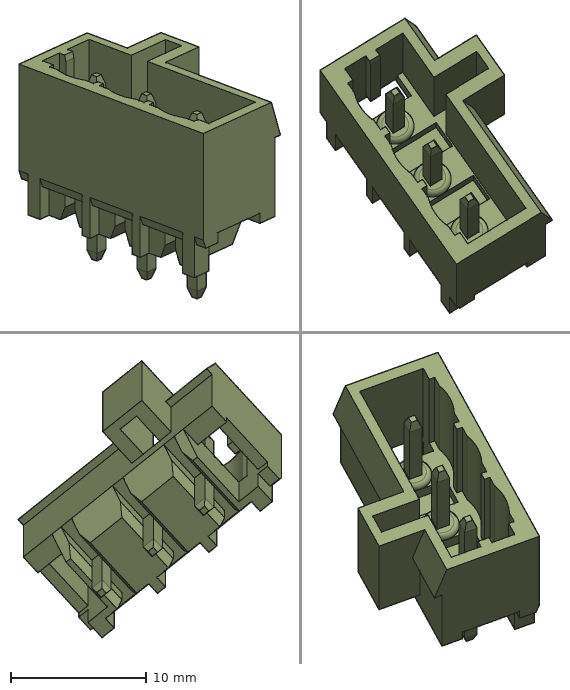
import cadquery as cq


pole_count = 3
pitch = 5.0
pole_y = 3.9
pole_xs = [(i - (pole_count - 1) / 2) * pitch for i in range(pole_count)]
gap_xs = [(a + b) / 2 for a, b in zip(pole_xs, pole_xs[1:])]

length = 18.4
top_z = 12.0
ledge_z = 2.58
back_y = 7.9
front_chamfer_depth = 0.28
front_chamfer_top_z = 3.33

hook_y = 8.5
hook_rim_y = 7.5
hook_bottom_z = 9.0

pocket_length = 16.6
pocket_front_y = 1.6
pocket_back_y = 6.73
floor_z = 4.0

relief_width = 4.42
relief_y = 1.15
relief_arc_width = 2.72
relief_arc_y = 0.9

boss_diameter = 2.8
boss_height = 0.4
base_length = (pole_count - 1) * pitch + boss_diameter
base_bottom_back_y = 6.3

opening_back_y = 6.24
notch_top_z = 3.4

feet_length = pocket_length
foot_gap_width = 4.21
foot_gap_depth = 1.0

recess_width = pitch - boss_diameter
recess_front_y = 1.85
recess_back_y = 6.6
recess_depth = 1.0

box_x = -3.3
box_width = 3.8
box_back_y = 11.2
box_slot_width = 1.6
box_slot_back_y = 10.5

rib_y = pole_y
rib_width = 0.88
rib_top_reach = 0.52
rib_full_reach = 0.65
rib_lead_in = 0.5

pin_width = 1.01
pin_tip_width = 0.5
pin_taper = 0.81
pin_top_z = 11.1
pin_bottom_z = -3.9

slot_mouth_width = 1.91
slot_flare_height = 1.15


def block(x_range, y_range, z_range):
    """Box between the given limits."""
    (x0, x1), (y0, y1), (z0, z1) = x_range, y_range, z_range
    return cq.Workplane("XY").box(x1 - x0, y1 - y0, z1 - z0, centered=False).translate((x0, y0, z0))


def centred(x, width):
    """X limits of a feature of this width about x."""
    return (x - width / 2, x + width / 2)


def extrude_along_x(side_points, width):
    """Prism of a (Y, Z) outline, centred on X = 0."""
    return cq.Workplane("YZ").polyline(side_points).close().extrude(width / 2, both=True)


def make_shell():
    """Outer shell with the sloped hook at the back and a chamfered front lower edge."""
    outline = [
        (front_chamfer_depth, ledge_z),
        (back_y, ledge_z),
        (back_y, hook_bottom_z),
        (hook_y, hook_bottom_z),
        (hook_rim_y, top_z),
        (0, top_z),
        (0, front_chamfer_top_z),
    ]
    return extrude_along_x(outline, length)


def make_base():
    """Base block carrying the pins, with a sloped back, and the row of front feet."""
    outline = [
        (foot_gap_depth, 0),
        (base_bottom_back_y, 0),
        (back_y, ledge_z),
        (back_y, floor_z),
        (foot_gap_depth, floor_z),
    ]
    base = extrude_along_x(outline, base_length)
    feet = block(centred(0, feet_length), (0, pocket_front_y), (0, front_chamfer_top_z))
    for x in pole_xs:
        gap = block(centred(x, foot_gap_width), (0, foot_gap_depth), (0, front_chamfer_top_z))
        feet = feet.cut(gap)
    return base.union(feet)


def make_box():
    """Solid outer form of the coding box."""
    return block(centred(box_x, box_width), (pocket_back_y, box_back_y), (floor_z, top_z))


def make_pocket():
    """Mating pocket with the coding-box slot and the front reliefs.

    The slot and the reliefs reach in to the pole line so that they merge with the pocket.
    """
    pocket_z = (floor_z, top_z)
    pocket = block(centred(0, pocket_length), (pocket_front_y, pocket_back_y), pocket_z)
    pocket = pocket.union(block(centred(box_x, box_slot_width), (pole_y, box_slot_back_y), pocket_z))
    for x in pole_xs:
        relief_left, relief_right = centred(x, relief_width)
        arc_left, arc_right = centred(x, relief_arc_width)
        relief = (
            cq.Workplane("XY", origin=(0, 0, floor_z))
            .moveTo(relief_left, pole_y)
            .lineTo(relief_left, relief_y)
            .lineTo(arc_left, relief_y)
            .threePointArc((x, relief_arc_y), (arc_right, relief_y))
            .lineTo(relief_right, relief_y)
            .lineTo(relief_right, pole_y)
            .close()
            .extrude(top_z - floor_z)
        )
        pocket = pocket.union(relief)
    return pocket


def cut_floor_openings(body):
    """Open the floor at both ends and notch the end walls below."""
    opening_y = (pocket_front_y, opening_back_y)
    for side in (-1, 1):
        inner = side * base_length / 2
        wall_inside = side * pocket_length / 2
        wall_outside = side * length / 2
        body = body.cut(block(sorted((inner, wall_inside)), opening_y, (0, floor_z)))
        body = body.cut(block(sorted((inner, wall_outside)), opening_y, (0, notch_top_z)))
    return body


def make_boss(x):
    """Boss around a pin, with its upper edge fully rounded."""
    boss_radius = boss_diameter / 2
    return (
        cq.Workplane("XZ", origin=(x, pole_y, floor_z))
        .lineTo(boss_radius, 0)
        .radiusArc((boss_radius - boss_height, boss_height), -boss_height)
        .lineTo(0, boss_height)
        .close()
        .revolve(360, (0, 0), (0, 1))
    )


def make_rib():
    """Coding rib on the left end wall, with a lead-in slope at the top."""
    wall_x = -pocket_length / 2
    outline = [
        (wall_x, floor_z),
        (wall_x + rib_full_reach, floor_z),
        (wall_x + rib_full_reach, top_z - rib_lead_in),
        (wall_x + rib_top_reach, top_z),
        (wall_x, top_z),
    ]
    rib = cq.Workplane("XZ").polyline(outline).close().extrude(rib_width / 2, both=True)
    return rib.translate((0, rib_y, 0))


def make_pin_slot(x):
    """Slot under the base, as wide as the pin and flared at its mouth."""
    half_slot = pin_width / 2
    half_mouth = slot_mouth_width / 2
    outline = [
        (x - half_mouth, 0),
        (x + half_mouth, 0),
        (x + half_slot, slot_flare_height),
        (x + half_slot, ledge_z),
        (x - half_slot, ledge_z),
        (x - half_slot, slot_flare_height),
    ]
    return cq.Workplane("XZ").polyline(outline).close().extrude(-back_y)


def make_pin_hole(x):
    """Square hole for a pin."""
    return block(centred(x, pin_width), centred(pole_y, pin_width), (0, top_z))


def make_housing():
    """Moulded housing."""
    body = make_shell().union(make_base()).union(make_box()).cut(make_pocket())
    body = cut_floor_openings(body)
    for x in gap_xs:
        recess_z = (floor_z - recess_depth, floor_z)
        body = body.cut(block(centred(x, recess_width), (recess_front_y, recess_back_y), recess_z))
    body = body.union(make_rib())
    for x in pole_xs:
        body = body.union(make_boss(x)).cut(make_pin_slot(x)).cut(make_pin_hole(x))
    return body


def make_pin_taper(x, shoulder_z, tip_z):
    """Tapered pin end from its shoulder to its tip."""
    return (
        cq.Workplane("XY", origin=(x, pole_y, shoulder_z))
        .rect(pin_width, pin_width)
        .workplane(offset=tip_z - shoulder_z)
        .rect(pin_tip_width, pin_tip_width)
        .loft()
    )


def make_pin(x):
    """Square pin, tapered at both ends."""
    upper_shoulder_z = pin_top_z - pin_taper
    lower_shoulder_z = pin_bottom_z + pin_taper
    shank = block(
        centred(x, pin_width), centred(pole_y, pin_width), (lower_shoulder_z, upper_shoulder_z)
    )
    upper_end = make_pin_taper(x, upper_shoulder_z, pin_top_z)
    lower_end = make_pin_taper(x, lower_shoulder_z, pin_bottom_z)
    return shank.union(upper_end).union(lower_end)


housing = make_housing()
pins = [make_pin(x) for x in pole_xs]

result = cq.Compound.makeCompound([housing.solids().val(), *[pin.val() for pin in pins]])